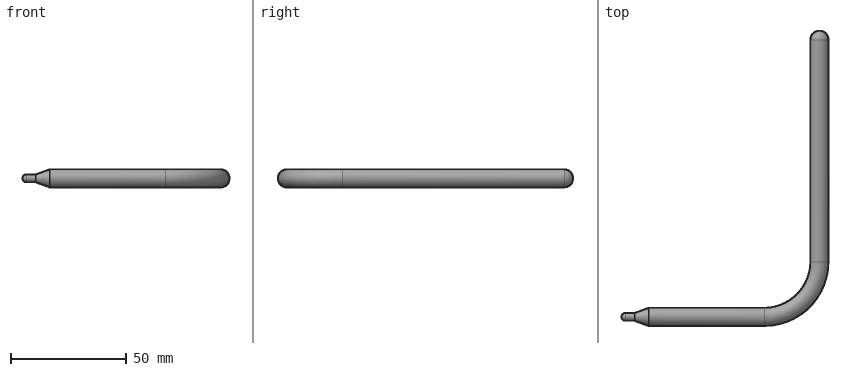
import cadquery as cq
import math

pipe_length = 200.0
pipe_diameter = 8.0
bend_radius = 24.0
short_leg_length = 62.0
cone_half_angle = 20.0
tip_diameter = 3.5
tip_straight_length = 4.0

pipe_radius = pipe_diameter / 2
tip_radius = tip_diameter / 2
cone_length = (pipe_radius - tip_radius) / math.tan(math.radians(cone_half_angle))
bend_length = math.pi / 2 * bend_radius
long_leg_length = pipe_length - bend_length - short_leg_length
short_straight_length = short_leg_length - cone_length - tip_straight_length - tip_radius
long_straight_length = long_leg_length - pipe_radius



def make_short_leg():
    """Straight pipe, taper and round-ended tip, revolved about the X axis."""
    cone_start_x = -short_straight_length
    cone_end_x = cone_start_x - cone_length
    tip_end_x = -short_leg_length
    dome_start_x = tip_end_x + tip_radius
    dome_mid = tip_radius * math.sqrt(0.5)
    return (
        cq.Workplane("XY")
        .moveTo(0, 0)
        .lineTo(0, pipe_radius)
        .lineTo(cone_start_x, pipe_radius)
        .lineTo(cone_end_x, tip_radius)
        .lineTo(dome_start_x, tip_radius)
        .threePointArc((dome_start_x - dome_mid, dome_mid), (tip_end_x, 0))
        .close()
        .revolve(360, (0, 0), (1, 0))
    )


def make_bend():
    """Quarter torus turning the pipe from +X to +Y."""
    return (
        cq.Workplane("YZ")
        .circle(pipe_radius)
        .revolve(90, (bend_radius, 0), (bend_radius, 1))
    )


def make_long_leg():
    """Straight pipe with a hemispherical end, running along +Y from the bend."""
    dome_mid = pipe_radius * math.sqrt(0.5)
    return (
        cq.Workplane("XY", origin=(bend_radius, bend_radius, 0))
        .moveTo(0, 0)
        .lineTo(pipe_radius, 0)
        .lineTo(pipe_radius, long_straight_length)
        .threePointArc((dome_mid, long_straight_length + dome_mid), (0, long_leg_length))
        .close()
        .revolve(360, (0, 0), (0, 1))
    )


result = make_short_leg().union(make_bend()).union(make_long_leg())